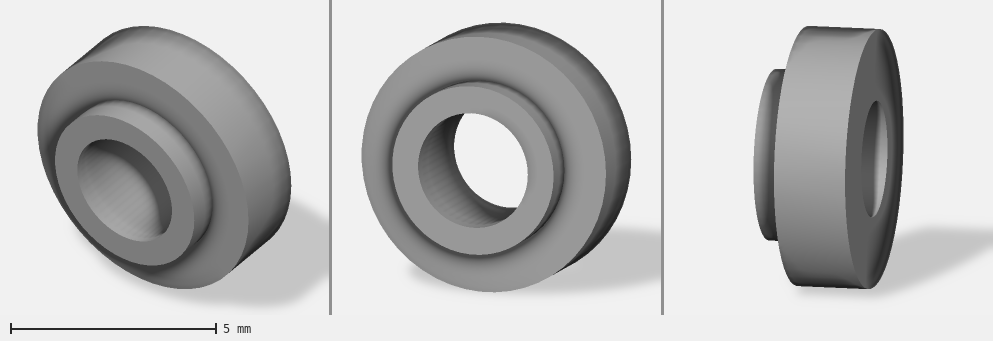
import cadquery as cq

flange_diameter = 6.35
shoulder_diameter = 4.19
bore_diameter = 2.85
overall_length = 2.54
shoulder_length = 0.762
flange_thickness = overall_length - shoulder_length


def disc_toward_front(diameter, start_y, length):
    """Solid disc about the Y axis, running from start_y toward -Y."""
    return (
        cq.Workplane("XZ", origin=(0, start_y, 0))
        .circle(diameter / 2)
        .extrude(length)
    )


flange = disc_toward_front(flange_diameter, flange_thickness, flange_thickness)
shoulder = disc_toward_front(shoulder_diameter, flange_thickness, overall_length)
bore = disc_toward_front(bore_diameter, flange_thickness, overall_length)

result = flange.union(shoulder).cut(bore)